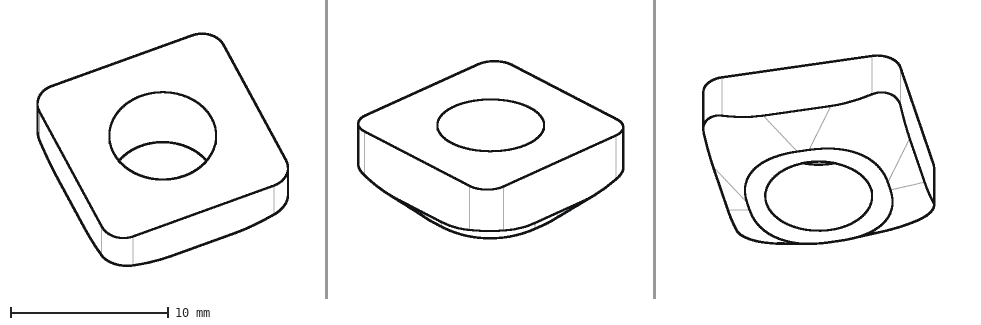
import cadquery as cq

side = 12.8
height = 5.5
corner_radius = 1.51
bore_diameter = 6.8

bevel = 1.82
bevel_blend_radius = 5.94

block = cq.Workplane("XY").box(side, side, height, centered=(True, True, False))
block = block.edges("|Z").fillet(corner_radius)

bottom_width = side - 2 * bevel
top_width = bottom_width + 2 * height
flare = (
    cq.Workplane("XY")
    .rect(bottom_width, bottom_width)
    .workplane(offset=height)
    .rect(top_width, top_width)
    .loft(ruled=True)
)
sloping_edges = flare.edges("not #Z")
flare = sloping_edges.fillet(bevel_blend_radius)

bore = cq.Workplane("XY").circle(bore_diameter / 2).extrude(height)

result = block.intersect(flare).cut(bore)